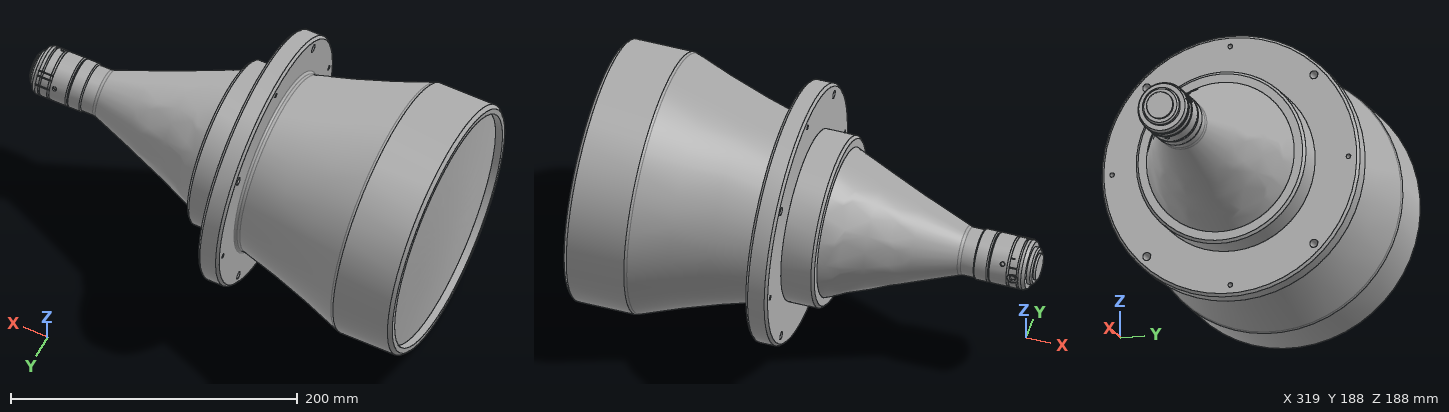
import cadquery as cq
import math

TOTAL_LENGTH = 319.0
BODY_RADIUS = 94.0

BARREL_LENGTH = 45.5
BARREL_CHAMFER = 2.5
BARREL_BACK_LENGTH = 1.0
BARREL_BACK_DROP = 0.5
GLASS_RADIUS = 87.7
GLASS_SAG = 5.0
GLASS_RECESS = 5.5
GLASS_EDGE_THICKNESS = 6.5

TAPER_END = 129.5
NECK_RADIUS = 66.5
TAPER_BOW = 1.3
NECK_FILLET = 1.5

FLANGE_FRONT = 133.3
FLANGE_THICKNESS = 16.0
FLANGE_CHAMFER = 2.0
BOLT_CIRCLE_RADIUS = 86.0
BOLT_HOLE_RADIUS = 3.0
THREAD_HOLE_RADIUS = 1.5
HOLES_PER_SET = 4

COLLAR_RADIUS = 62.0
COLLAR_END = 173.0
COLLAR_CHAMFER = 2.0
REAR_TAPER_RADIUS = 54.0
REAR_TAPER_END = 264.3
REAR_TAPER_END_RADIUS = 18.0
REAR_TAPER_BOW = 0.5

TUBE_RADIUS = 17.2
RING_RADIUS = 18.2
RING_START = 275.8
RING_CHAMFER = 1.0
RING_END = 313.5
RING_END_CHAMFER_LENGTH = 2.5
RING_END_CHAMFER_DEPTH = 1.3
TUBE_START = 266.5
GAP_START = 285.5
GAP_WIDTH = 2.2
GAP_DEPTH = 1.0
BAND_GROOVE_DEPTH = 0.3
BAND_START = 300.0
BAND_FRONT_GROOVE = 1.5
BAND_END = 308.5
BAND_BACK_GROOVE = 1.3
MOUNT_RADIUS = 13.5
MOUNT_END = 317.3
MOUNT_CHAMFER = 1.3
REAR_BOSS_RADIUS = 9.5

SET_SCREW_X = 296.5
SET_SCREW_RADIUS = 1.5
SET_SCREW_DEPTH = 2.0
SET_SCREW_COUNT = 3
SET_SCREW_FIRST_ANGLE = 26.0
LOCK_SCREW_ANGLE = 178.0
LOCK_SCREW_RADIUS = 3.8
LOCK_SCREW_DEPTH = 1.0
LOCK_SOCKET_RADIUS = 2.2
LOCK_SOCKET_DEPTH = 2.2
MARK_WIDTH = 0.5
MARK_DEPTH = 0.5
TICK_ANGLE = 129.0
TICK_LENGTH = 3.0
BAND_MARK_ANGLE = 150.0
KEY_MARK_ANGLES = (17.0, 41.0, 53.0)
KEY_MARK_END = 311.2

BAND_INNER_START = BAND_START + BAND_FRONT_GROOVE
BAND_INNER_END = BAND_END - BAND_BACK_GROOVE
BAND_MIDDLE = (BAND_INNER_START + BAND_INNER_END) / 2


def bowed_middle(start, end, bow):
    """Middle point of an arc from start to end that dips toward the axis by bow."""
    dx = end[0] - start[0]
    dr = end[1] - start[1]
    chord = math.hypot(dx, dr)
    return (
        (start[0] + end[0]) / 2 + bow * dr / chord,
        (start[1] + end[1]) / 2 - bow * dx / chord,
    )


def turned(profile):
    """Turn a closed (X, radius) profile about the X axis."""
    return profile.close().revolve(360, (0, 0, 0), (1, 0, 0))


def make_turned_housing():
    flange_back = FLANGE_FRONT + FLANGE_THICKNESS
    taper_start = (BARREL_LENGTH + BARREL_BACK_LENGTH, BODY_RADIUS - BARREL_BACK_DROP)
    taper_end = (TAPER_END, NECK_RADIUS)
    rear_start = (COLLAR_END, REAR_TAPER_RADIUS)
    rear_end = (REAR_TAPER_END, REAR_TAPER_END_RADIUS)
    round_middle = NECK_FILLET * (1 - math.sqrt(0.5))
    gap_end = GAP_START + GAP_WIDTH
    gap_radius = RING_RADIUS - GAP_DEPTH
    groove_radius = RING_RADIUS - BAND_GROOVE_DEPTH
    profile = (
        cq.Workplane("XZ")
        .moveTo(0, 0)
        .lineTo(0, BODY_RADIUS - BARREL_CHAMFER)
        .lineTo(BARREL_CHAMFER, BODY_RADIUS)
        .lineTo(BARREL_LENGTH - BARREL_BACK_LENGTH, BODY_RADIUS)
        .lineTo(*taper_start)
        .threePointArc(bowed_middle(taper_start, taper_end, TAPER_BOW), taper_end)
        .lineTo(FLANGE_FRONT - NECK_FILLET, NECK_RADIUS)
        .threePointArc(
            (FLANGE_FRONT - round_middle, NECK_RADIUS + round_middle),
            (FLANGE_FRONT, NECK_RADIUS + NECK_FILLET),
        )
        .lineTo(FLANGE_FRONT, BODY_RADIUS - FLANGE_CHAMFER)
        .lineTo(FLANGE_FRONT + FLANGE_CHAMFER, BODY_RADIUS)
        .lineTo(flange_back - FLANGE_CHAMFER, BODY_RADIUS)
        .lineTo(flange_back, BODY_RADIUS - FLANGE_CHAMFER)
        .lineTo(flange_back, COLLAR_RADIUS)
        .lineTo(COLLAR_END - COLLAR_CHAMFER, COLLAR_RADIUS)
        .lineTo(COLLAR_END, COLLAR_RADIUS - COLLAR_CHAMFER)
        .lineTo(*rear_start)
        .threePointArc(bowed_middle(rear_start, rear_end, REAR_TAPER_BOW), rear_end)
        .lineTo(TUBE_START, TUBE_RADIUS)
        .lineTo(RING_START, TUBE_RADIUS)
        .lineTo(RING_START + RING_CHAMFER, RING_RADIUS)
        .lineTo(GAP_START, RING_RADIUS)
        .lineTo(GAP_START + GAP_DEPTH, gap_radius)
        .lineTo(gap_end - GAP_DEPTH, gap_radius)
        .lineTo(gap_end, RING_RADIUS)
        .lineTo(BAND_START, RING_RADIUS)
        .lineTo(BAND_START, groove_radius)
        .lineTo(BAND_INNER_START, groove_radius)
        .lineTo(BAND_INNER_START, RING_RADIUS)
        .lineTo(BAND_INNER_END, RING_RADIUS)
        .lineTo(BAND_INNER_END, groove_radius)
        .lineTo(BAND_END, groove_radius)
        .lineTo(BAND_END, RING_RADIUS)
        .lineTo(RING_END - RING_END_CHAMFER_LENGTH, RING_RADIUS)
        .lineTo(RING_END, RING_RADIUS - RING_END_CHAMFER_DEPTH)
        .lineTo(RING_END, MOUNT_RADIUS)
        .lineTo(MOUNT_END - MOUNT_CHAMFER, MOUNT_RADIUS)
        .lineTo(MOUNT_END, MOUNT_RADIUS - MOUNT_CHAMFER)
        .lineTo(MOUNT_END, REAR_BOSS_RADIUS)
        .lineTo(TOTAL_LENGTH, REAR_BOSS_RADIUS)
        .lineTo(TOTAL_LENGTH, 0)
    )
    return turned(profile)


def glass_seat():
    """Flat-bottomed recess in the front face that holds the glass."""
    depth = GLASS_RECESS + GLASS_EDGE_THICKNESS
    return cq.Workplane("YZ").circle(GLASS_RADIUS).extrude(depth)


def flange_holes(radius, first_angle):
    return (
        cq.Workplane("YZ", origin=(FLANGE_FRONT, 0, 0))
        .polarArray(BOLT_CIRCLE_RADIUS, first_angle, 360, HOLES_PER_SET)
        .circle(radius)
        .extrude(FLANGE_THICKNESS)
    )


def turn_to_angle(shape, angle):
    """Turn a shape made at +Z about the X axis to an angle counted from +Y toward +Z."""
    top_angle = 90
    return shape.rotate((0, 0, 0), (1, 0, 0), angle - top_angle)


def radial_hole(x, angle, radius, depth):
    """Blind hole into the rear rings."""
    hole = (
        cq.Workplane("XY", origin=(x, 0, RING_RADIUS - depth))
        .circle(radius)
        .extrude(2 * depth)
    )
    return turn_to_angle(hole, angle)


def axial_mark(start, end, angle):
    """Narrow groove along the rear rings."""
    groove = (
        cq.Workplane("XY", origin=((start + end) / 2, 0, RING_RADIUS))
        .box(end - start, MARK_WIDTH, 2 * MARK_DEPTH)
    )
    return turn_to_angle(groove, angle)


def make_housing():
    body = make_turned_housing().cut(glass_seat())
    body = body.cut(flange_holes(BOLT_HOLE_RADIUS, 180 / HOLES_PER_SET))
    body = body.cut(flange_holes(THREAD_HOLE_RADIUS, 0))
    for i in range(SET_SCREW_COUNT):
        angle = SET_SCREW_FIRST_ANGLE + i * 360 / SET_SCREW_COUNT
        body = body.cut(radial_hole(SET_SCREW_X, angle, SET_SCREW_RADIUS, SET_SCREW_DEPTH))
    body = body.cut(radial_hole(BAND_MIDDLE, LOCK_SCREW_ANGLE, LOCK_SCREW_RADIUS, LOCK_SCREW_DEPTH))
    body = body.cut(radial_hole(BAND_MIDDLE, LOCK_SCREW_ANGLE, LOCK_SOCKET_RADIUS, LOCK_SOCKET_DEPTH))
    body = body.cut(axial_mark(BAND_INNER_START, BAND_INNER_START + TICK_LENGTH, TICK_ANGLE))
    body = body.cut(axial_mark(BAND_INNER_START, BAND_INNER_END, BAND_MARK_ANGLE))
    for angle in KEY_MARK_ANGLES:
        body = body.cut(axial_mark(BAND_START, KEY_MARK_END, angle))
    return body


def make_glass():
    """Front lens: flat at the back, domed toward the front."""
    seat_bottom = GLASS_RECESS + GLASS_EDGE_THICKNESS
    apex = GLASS_RECESS - GLASS_SAG
    dome_radius = (GLASS_RADIUS**2 + GLASS_SAG**2) / (2 * GLASS_SAG)
    half_radius = GLASS_RADIUS / 2
    half_x = apex + dome_radius - math.sqrt(dome_radius**2 - half_radius**2)
    profile = (
        cq.Workplane("XZ")
        .moveTo(apex, 0)
        .threePointArc((half_x, half_radius), (GLASS_RECESS, GLASS_RADIUS))
        .lineTo(seat_bottom, GLASS_RADIUS)
        .lineTo(seat_bottom, 0)
    )
    return turned(profile)


housing = make_housing()
glass = make_glass()

result = cq.Compound.makeCompound([housing.solids().val(), glass.solids().val()])